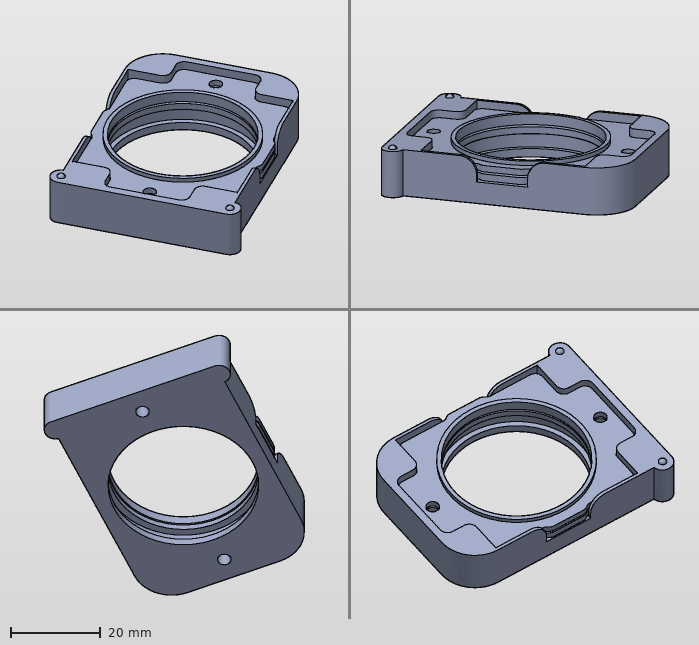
import cadquery as cq
import math

BODY_WIDTH = 40.3
BACK_Y = 28.15
FRONT_Y = -28.3
BACK_CORNER_RADIUS = 9.0
BACK_HEIGHT = 11.0
FRONT_HEIGHT = 10.8

LUG_SPAN = 44.6
LUG_LENGTH = 5.1
LUG_RADIUS = 2.5
LUG_Y = FRONT_Y + LUG_LENGTH / 2
BUMP_X = LUG_SPAN / 2 - LUG_RADIUS
BUMP_RADIUS = 1.0
BUMP_TOP = 11.45

FLOOR_HEIGHT = 5.0
WALL_THICKNESS = 0.8
POCKET_WIDTH = BODY_WIDTH - 2 * WALL_THICKNESS
POCKET_LENGTH = 38.5
POCKET_TAB_WIDTH = 19.85
POCKET_TAB_SPAN = 52.6
CORNER_RADIUS = 2.0

NOTCH_HALF_WIDTH = 6.0
NOTCH_ROUND_RADIUS = 4.0

LENS_BORE = 33.5
LENS_SEAT_DIAMETER = 36.0
LENS_SEAT_HEIGHT = 2.0
SCREW_HOLE_DIAMETER = 3.0
SCREW_HOLE_Y = 22.8

WIDE_CLEARANCE = 0.15
NARROW_CLEARANCE = 0.05
PLATE_WIDTH = POCKET_WIDTH - 2 * WIDE_CLEARANCE
PLATE_LENGTH = POCKET_LENGTH - 2 * NARROW_CLEARANCE
PLATE_TAB_WIDTH = POCKET_TAB_WIDTH - 2 * NARROW_CLEARANCE
PLATE_TAB_SPAN = POCKET_TAB_SPAN - 2 * WIDE_CLEARANCE
GRIP_HALF_FLAT = 3.95
LOWER_PLATE_BOTTOM = 5.5
LOWER_PLATE_TOP = 7.05
UPPER_PLATE_BOTTOM = 7.55
UPPER_PLATE_TOP = 9.05
RING_DIAMETER = 35.5
RING_TOP = 10.05


def cylinder(diameter, bottom, top, x=0, y=0):
    """Upright cylinder between two heights."""
    return cq.Workplane("XY", origin=(x, y, bottom)).circle(diameter / 2).extrude(top - bottom)


def screw_holes(bottom, top):
    """Pair of screw holes, one in each tab."""
    front = cylinder(SCREW_HOLE_DIAMETER, bottom, top, y=-SCREW_HOLE_Y)
    back = cylinder(SCREW_HOLE_DIAMETER, bottom, top, y=SCREW_HOLE_Y)
    return front.union(back)


def cross_prism(width, length, tab_width, tab_span, bottom, top):
    """Rectangle with a narrower tab at the front and back; the tab corners are rounded inside and out."""
    height = top - bottom
    base = cq.Workplane("XY", origin=(0, 0, bottom))
    prism = base.rect(width, length).extrude(height).union(base.rect(tab_width, tab_span).extrude(height))
    reach_x = tab_width / 2 + CORNER_RADIUS
    tab_zone = cq.selectors.BoxSelector((-reach_x, -tab_span, bottom), (reach_x, tab_span, top))
    return prism.edges("|Z").edges(tab_zone).fillet(CORNER_RADIUS)


def make_blank():
    """Solid housing with rounded back corners, rounded front lugs and a lower front half."""
    blank = (
        cq.Workplane("XY")
        .center(0, (BACK_Y + FRONT_Y) / 2)
        .rect(BODY_WIDTH, BACK_Y - FRONT_Y)
        .extrude(BACK_HEIGHT)
        .edges("|Z and >Y")
        .fillet(BACK_CORNER_RADIUS)
    )
    lug_bar = (
        cq.Workplane("XY")
        .center(0, LUG_Y)
        .rect(LUG_SPAN, LUG_LENGTH)
        .extrude(FRONT_HEIGHT)
        .edges("|Z")
        .fillet(LUG_RADIUS)
    )
    corner_trim = (
        cq.Workplane("XY")
        .center(0, (LUG_Y + FRONT_Y) / 2)
        .rect(BODY_WIDTH, LUG_LENGTH / 2)
        .extrude(BACK_HEIGHT)
    )
    front_half = (
        cq.Workplane("XY", origin=(0, FRONT_Y / 2, FRONT_HEIGHT))
        .rect(BODY_WIDTH, -FRONT_Y)
        .extrude(BACK_HEIGHT - FRONT_HEIGHT)
    )
    return blank.cut(corner_trim).cut(front_half).union(lug_bar)


def make_bump(x):
    """Ball that shows as a low dome on top of a lug."""
    return cq.Workplane("XY", origin=(x, LUG_Y, BUMP_TOP - BUMP_RADIUS)).sphere(BUMP_RADIUS)


def make_notch():
    """Notch across both side walls, flaring out in a quarter round up to the top on either side."""
    round_inset = NOTCH_ROUND_RADIUS * (1 - math.sqrt(0.5))
    flare_y = NOTCH_HALF_WIDTH + NOTCH_ROUND_RADIUS
    mid_y = NOTCH_HALF_WIDTH + round_inset
    return (
        cq.Workplane("YZ", origin=(-BODY_WIDTH / 2, 0, 0))
        .moveTo(-NOTCH_HALF_WIDTH, FLOOR_HEIGHT)
        .lineTo(NOTCH_HALF_WIDTH, FLOOR_HEIGHT)
        .lineTo(NOTCH_HALF_WIDTH, BACK_HEIGHT - NOTCH_ROUND_RADIUS)
        .threePointArc((mid_y, BACK_HEIGHT - round_inset), (flare_y, BACK_HEIGHT))
        .lineTo(0, BACK_HEIGHT)
        .lineTo(0, FRONT_HEIGHT)
        .lineTo(-flare_y, FRONT_HEIGHT)
        .threePointArc(
            (-mid_y, FRONT_HEIGHT - round_inset), (-NOTCH_HALF_WIDTH, FRONT_HEIGHT - NOTCH_ROUND_RADIUS)
        )
        .close()
        .extrude(BODY_WIDTH)
    )


def make_housing():
    """Housing with its pocket, notches, stepped lens bore, screw holes and bumps."""
    pocket = cross_prism(
        POCKET_WIDTH, POCKET_LENGTH, POCKET_TAB_WIDTH, POCKET_TAB_SPAN, FLOOR_HEIGHT, BACK_HEIGHT
    )
    housing = make_blank().cut(pocket).cut(make_notch())
    housing = housing.cut(cylinder(LENS_BORE, 0, FLOOR_HEIGHT))
    housing = housing.cut(cylinder(LENS_SEAT_DIAMETER, LENS_SEAT_HEIGHT, FLOOR_HEIGHT))
    housing = housing.cut(screw_holes(0, FLOOR_HEIGHT))
    for x in (-BUMP_X, BUMP_X):
        housing = housing.union(make_bump(x))
    return housing


def make_half_grips(bottom, top):
    """Back half of a bar across the plate; its ends sit flush in the notches and blend in with S curves."""
    outer_x = BODY_WIDTH / 2
    inner_x = PLATE_WIDTH / 2
    turn = math.acos(1 - (outer_x - inner_x) / (2 * CORNER_RADIUS))
    half_run = CORNER_RADIUS * math.sin(turn)
    middle = ((outer_x + inner_x) / 2, GRIP_HALF_FLAT + half_run)
    foot = (inner_x, GRIP_HALF_FLAT + 2 * half_run)
    return (
        cq.Workplane("XY", origin=(0, 0, bottom))
        .moveTo(0, 0)
        .lineTo(outer_x, 0)
        .lineTo(outer_x, GRIP_HALF_FLAT)
        .tangentArcPoint(middle, relative=False)
        .tangentArcPoint(foot, relative=False)
        .lineTo(0, foot[1])
        .mirrorY()
        .extrude(top - bottom)
    )


def make_plate(bottom, top):
    """Plate with rounded corners, side grips, lens bore and screw holes."""
    plate = cross_prism(PLATE_WIDTH, PLATE_LENGTH, PLATE_TAB_WIDTH, PLATE_TAB_SPAN, bottom, top)
    plate = plate.edges("|Z and (<X or >X)").fillet(CORNER_RADIUS)
    half_grips = make_half_grips(bottom, top)
    plate = plate.union(half_grips).union(half_grips.mirror("XZ"))
    return plate.cut(cylinder(LENS_BORE, bottom, top)).cut(screw_holes(bottom, top))


def make_upper_plate():
    """Plate with a raised ring around its lens bore."""
    ring = cylinder(RING_DIAMETER, UPPER_PLATE_TOP, RING_TOP)
    ring = ring.cut(cylinder(LENS_BORE, UPPER_PLATE_TOP, RING_TOP))
    return make_plate(UPPER_PLATE_BOTTOM, UPPER_PLATE_TOP).union(ring)


housing = make_housing()
lower_plate = make_plate(LOWER_PLATE_BOTTOM, LOWER_PLATE_TOP)
upper_plate = make_upper_plate()

result = cq.Compound.makeCompound([housing.val(), lower_plate.val(), upper_plate.val()])